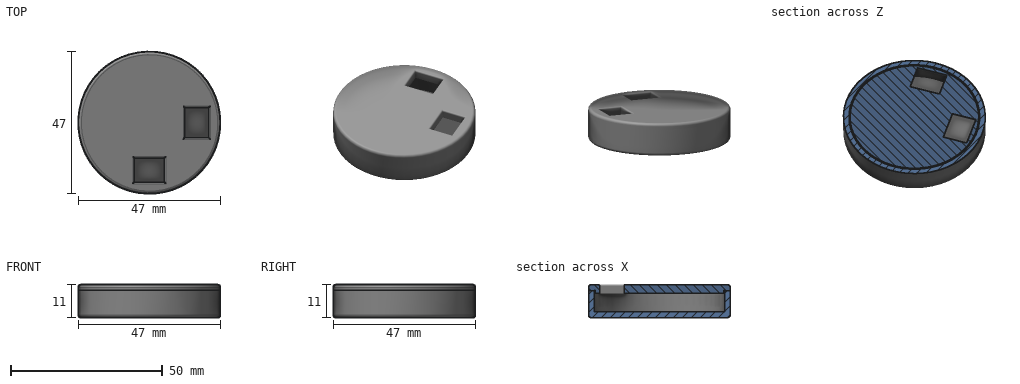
import cadquery as cq

case_diameter = 47.0
case_height = 11.0
edge_round = 1.0

lid_rim_height = 2 * edge_round
cavity_diameter = 43.0
plug_diameter = 42.65
plug_height = 1.0
floor_thickness = 2.0

window_length = 9.95
window_width = 7.95
window_offset = 15.65
window_edge_round = 0.5
window_angles = (0, -90)

cup_height = case_height - lid_rim_height
lid_height = lid_rim_height + plug_height
lid_bottom = case_height - lid_height


def make_cup():
    """Round cup with a rounded bottom edge, open at the top."""
    cup = cq.Workplane("XY").circle(case_diameter / 2).extrude(cup_height)
    cup = cup.faces("<Z").edges().fillet(edge_round)
    cavity = (
        cq.Workplane("XY")
        .workplane(offset=floor_thickness)
        .circle(cavity_diameter / 2)
        .extrude(cup_height - floor_thickness)
    )
    return cup.cut(cavity)


def make_window(angle):
    """Straight rectangular cutter through the full lid depth, turned about Z to its place."""
    shaft = (
        cq.Workplane("XY")
        .workplane(offset=lid_bottom)
        .center(window_offset, 0)
        .rect(window_width, window_length)
        .extrude(lid_height)
    )
    return shaft.rotate((0, 0, 0), (0, 0, 1), angle)


def make_lid():
    """Lid with a rounded rim, a locating plug below it and two windows with rounded mouths."""
    rim = (
        cq.Workplane("XY")
        .workplane(offset=cup_height)
        .circle(case_diameter / 2)
        .extrude(lid_rim_height)
        .faces(">Z")
        .edges()
        .fillet(edge_round)
    )
    plug = (
        cq.Workplane("XY")
        .workplane(offset=lid_bottom)
        .circle(plug_diameter / 2)
        .extrude(plug_height)
    )
    lid = rim.union(plug)
    for angle in window_angles:
        lid = lid.cut(make_window(angle))
    return lid.faces(">Z").edges("%LINE").fillet(window_edge_round)


cup = make_cup()
lid = make_lid()

result = cq.Compound.makeCompound([cup.val(), lid.val()])